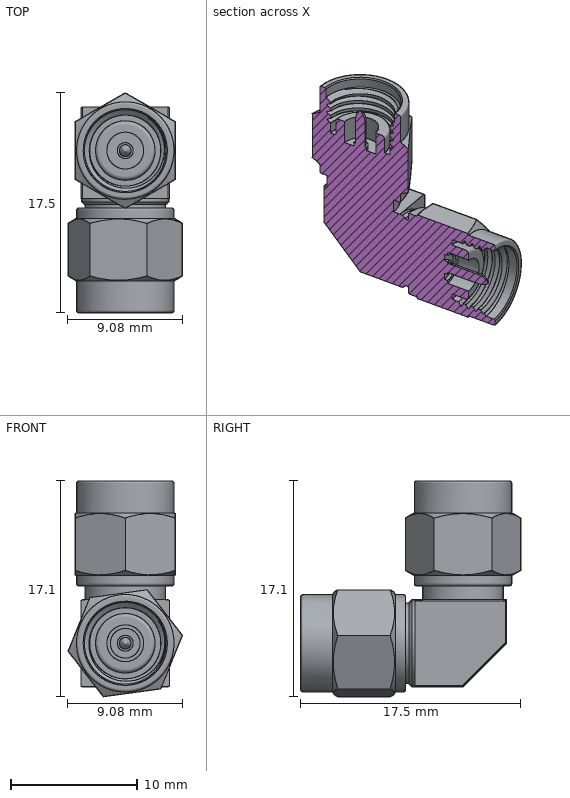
import cadquery as cq
import math


MOUTH = 12.877
NUT_BACK = 4.55
HEX_BACK = 5.37
HEX_FRONT = 10.35

SLEEVE_RADIUS = 3.87
SLEEVE_FILLET = 0.2
HEX_FLATS = 7.9375
HEX_CORNERS = HEX_FLATS / math.cos(math.radians(30))
HEX_CHAMFER_ANGLE = 30
FRONT_NUT_TURN = -22.2

MOUTH_RADIUS = 3.24
MOUTH_DEPTH = 0.87
MOUTH_CHAMFER = 0.1
MINOR_RADIUS = 2.82
CONE_DEPTH = 0.36
BORE_DEPTH = 4.1

PITCH = 25.4 / 36
MAJOR_RADIUS = 3.18
THREAD_END_DEPTH = 3.5
THREAD_TURNS = 3.75
GROOVE_OVERCUT = 0.1

PLUG_RADIUS = 2.36
PLUG_FILLET = 0.31
PLUG_TOP = MOUTH - 2.53
SOCKET_RADIUS = 1.46
SOCKET_DEPTH = 2.0
SOCKET_STEP_RADIUS = 1.18
SOCKET_STEP_DEPTH = 0.3

PIN_RADIUS = 0.465
TOP_PIN_END = MOUTH - 0.97
FRONT_PIN_END = MOUTH - 0.70
PIN_NOSE_RADIUS = 0.16
PIN_NOSE_HEIGHT = 0.1
PIN_CONE_RADIUS = 0.40
PIN_CONE_LENGTH = 0.4
PIN_ROUND_LENGTH = 0.43
COLLAR_RADIUS = 0.63
COLLAR_HEIGHT = 0.3

BLOCK_HALF_WIDTH = 3.52
BLOCK_REACH = 3.465
BLOCK_FRONT = -3.81
BLOCK_CHAMFER = 0.11
NECK_RADIUS = 3.2
FLANGE_RADIUS = 3.46
FLANGE_LENGTH = 0.25
FLANGE_BEVEL = 0.23


def cylinder(radius, bottom, top):
    return cq.Workplane("XY").workplane(offset=bottom).circle(radius).extrude(top - bottom)


def hexagon():
    """Hexagon with corners on the Y axis and both ends bevelled by cones."""
    height = HEX_FRONT - HEX_BACK
    prism = cq.Workplane("XY").workplane(offset=HEX_BACK).polygon(6, HEX_CORNERS).extrude(height)
    prism = prism.rotate((0, 0, 0), (0, 0, 1), 90)
    outer_radius = HEX_CORNERS / 2 + GROOVE_OVERCUT
    bevel = (outer_radius - SLEEVE_RADIUS) * math.tan(math.radians(HEX_CHAMFER_ANGLE))
    envelope = cylinder(outer_radius, HEX_BACK, HEX_FRONT)
    envelope = envelope.faces("<Z or >Z").chamfer(bevel, outer_radius - SLEEVE_RADIUS)
    return prism.intersect(envelope)


def nut_bore():
    cone_start = MOUTH - MOUTH_DEPTH
    cone_end = cone_start - CONE_DEPTH
    floor = MOUTH - BORE_DEPTH
    outline = [(0, floor), (MINOR_RADIUS, floor), (MINOR_RADIUS, cone_end),
               (MOUTH_RADIUS, cone_start), (MOUTH_RADIUS, MOUTH - MOUTH_CHAMFER),
               (MOUTH_RADIUS + MOUTH_CHAMFER, MOUTH), (0, MOUTH)]
    return cq.Workplane("XZ").polyline(outline).close().revolve(360, (0, 0, 0), (0, 1, 0))


def thread_groove():
    """Right-handed helical V groove whose deep end starts on the +X side."""
    start = MOUTH - THREAD_END_DEPTH
    inner_radius = MINOR_RADIUS - GROOVE_OVERCUT
    half_width = (MAJOR_RADIUS - inner_radius) * math.tan(math.radians(30))
    helix = cq.Wire.makeHelix(PITCH, PITCH * THREAD_TURNS, MINOR_RADIUS, cq.Vector(0, 0, start))
    vee = [(inner_radius, start - half_width), (MAJOR_RADIUS, start), (inner_radius, start + half_width)]
    return cq.Workplane("XZ").polyline(vee).close().sweep(cq.Workplane(helix), isFrenet=True)


def threaded_bore():
    """Bore and groove, joined and then turned so that the thread ends on the -X side."""
    return nut_bore().union(thread_groove()).rotate((0, 0, 0), (0, 0, 1), 180)


def coupling_nut():
    sleeve = cylinder(SLEEVE_RADIUS, NUT_BACK, MOUTH).faces("<Z or >Z").edges().fillet(SLEEVE_FILLET)
    return sleeve.union(hexagon()).cut(threaded_bore())


def pin(floor, end):
    """Centre pin with a collar at its foot, a rounded shoulder, a cone and a domed nose."""
    cone_top = end - PIN_NOSE_HEIGHT
    cone_bottom = cone_top - PIN_CONE_LENGTH
    round_bottom = cone_bottom - PIN_ROUND_LENGTH
    dome_radius = (PIN_NOSE_RADIUS**2 + PIN_NOSE_HEIGHT**2) / (2 * PIN_NOSE_HEIGHT)
    collar_top = floor + COLLAR_HEIGHT
    outline = (
        cq.Workplane("XZ")
        .moveTo(0, floor)
        .lineTo(COLLAR_RADIUS, floor)
        .lineTo(COLLAR_RADIUS, collar_top)
        .lineTo(PIN_RADIUS, collar_top)
        .lineTo(PIN_RADIUS, round_bottom)
        .tangentArcPoint((PIN_CONE_RADIUS, cone_bottom), relative=False)
        .lineTo(PIN_NOSE_RADIUS, cone_top)
        .radiusArc((0, end), -dome_radius)
        .close()
    )
    return outline.revolve(360, (0, 0, 0), (0, 1, 0))


def plug(nut_turn):
    """Neck, coupling nut and contact body, still without the socket and the pin."""
    neck = cylinder(NECK_RADIUS, 0, NUT_BACK + SLEEVE_FILLET)
    nut = coupling_nut().rotate((0, 0, 0), (0, 0, 1), nut_turn)
    body = cylinder(PLUG_RADIUS, 0, PLUG_TOP).faces(">Z").edges().fillet(PLUG_FILLET)
    return neck.union(nut).union(body)


def top_plug():
    floor = PLUG_TOP - SOCKET_DEPTH
    return plug(0).cut(cylinder(SOCKET_RADIUS, floor, PLUG_TOP)).union(pin(floor, TOP_PIN_END))


def front_plug():
    """Plug with a bevelled flange on its neck and a socket that narrows in a step at its floor."""
    flange_end = FLANGE_LENGTH + FLANGE_BEVEL - BLOCK_FRONT
    flange = cylinder(FLANGE_RADIUS, 0, flange_end).faces(">Z").edges().chamfer(FLANGE_BEVEL)
    step = PLUG_TOP - SOCKET_DEPTH
    floor = step - SOCKET_STEP_DEPTH
    body = plug(FRONT_NUT_TURN).union(flange)
    body = body.cut(cylinder(SOCKET_RADIUS, step, PLUG_TOP)).cut(cylinder(SOCKET_STEP_RADIUS, floor, step))
    return body.union(pin(floor, FRONT_PIN_END))


def block():
    """Elbow block, mitred at 45 degrees on its outer corner; the edges of both sides are bevelled."""
    outline = [(BLOCK_FRONT, -BLOCK_REACH), (0, -BLOCK_REACH), (BLOCK_REACH, 0),
               (BLOCK_REACH, BLOCK_REACH), (BLOCK_FRONT, BLOCK_REACH)]
    body = cq.Workplane("YZ").polyline(outline).close().extrude(BLOCK_HALF_WIDTH, both=True)
    return body.faces("<X or >X").edges("not <Y").chamfer(BLOCK_CHAMFER)


front = front_plug().rotate((0, 0, 0), (1, 0, 0), 90)
result = block().union(top_plug()).union(front)